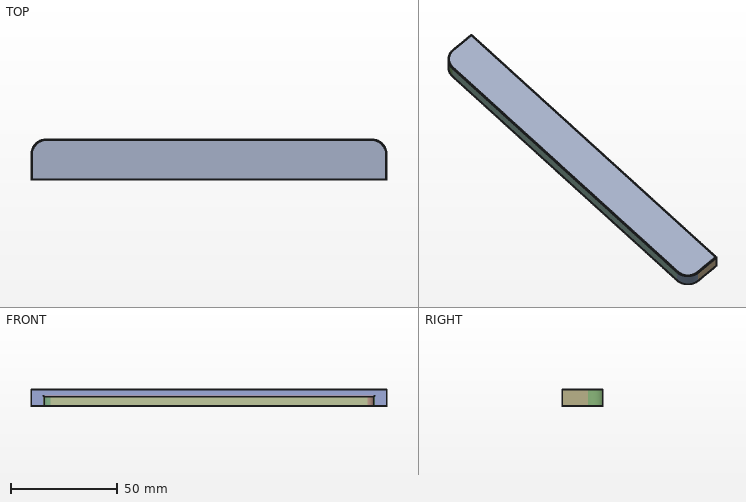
import cadquery as cq

length = 167.0
depth = 19.0
height = 8.0
corner_radius = 7.0
top_chamfer = 0.38

wall = 6.0
plate_thickness = 3.5
pocket_corner_radius = 3.0
opening_fillet = 0.38

pocket_length = length - 2 * wall
pocket_depth = depth - wall
pocket_height = height - plate_thickness


def block_with_round_back(x_size, y_size, z_size, radius):
    """Block standing on Z = 0 with its front face on Y = 0 and its two back upright edges rounded."""
    block = cq.Workplane("XY").box(x_size, y_size, z_size, centered=(True, False, False))
    return block.edges("|Z and >Y").fillet(radius)


body = block_with_round_back(length, depth, height, corner_radius)
body = body.faces(">Z").edges().chamfer(top_chamfer)

pocket = block_with_round_back(pocket_length, pocket_depth, pocket_height, pocket_corner_radius)
body = body.cut(pocket)

margin = 0.2
opening_edges = cq.selectors.BoxSelector(
    (-pocket_length / 2 - margin, -margin, -margin),
    (pocket_length / 2 + margin, margin, pocket_height + margin),
    boundingbox=True,
)
result = body.edges(opening_edges).fillet(opening_fillet)